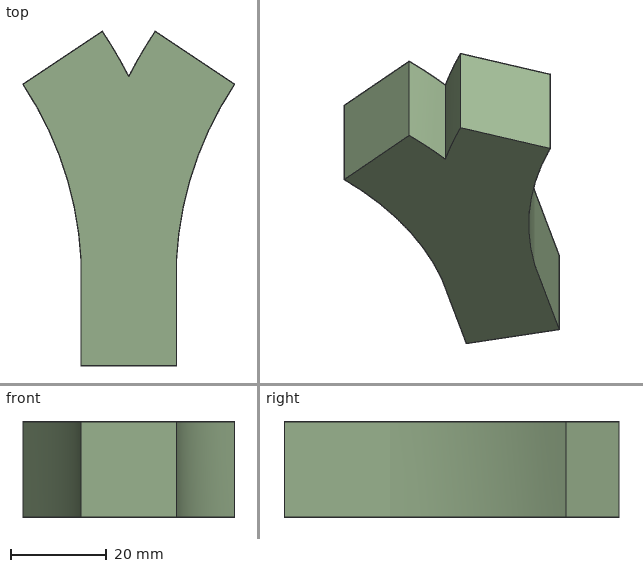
import cadquery as cq
import math

width = 20.0
height = 20.0
total_length = 70.0
total_span = 44.32
stem_length = 22.14
bend_radius = 83.0
end_angle = math.atan2(2, 3)

half_width = width / 2
inner_radius = bend_radius - half_width
outer_radius = bend_radius + half_width
center_x = -total_span / 2 - inner_radius * math.cos(end_angle)
center_y = total_length - outer_radius * math.sin(end_angle)
start_angle = math.asin((stem_length - center_y) / inner_radius)
mid_angle = (start_angle + end_angle) / 2


def arc_point(radius, angle):
    """Point on an arm arc, at an angle measured from +X about the arc centre."""
    return (center_x + radius * math.cos(angle), center_y + radius * math.sin(angle))


def make_stem():
    """Straight foot of the Y."""
    return (
        cq.Workplane("XY")
        .rect(width, stem_length)
        .extrude(height)
        .translate((0, stem_length / 2, 0))
    )


def make_left_arm():
    """Arm bending towards -X, with a flat radial end."""
    return (
        cq.Workplane("XY")
        .moveTo(-half_width, stem_length)
        .threePointArc(arc_point(inner_radius, mid_angle), arc_point(inner_radius, end_angle))
        .lineTo(*arc_point(outer_radius, end_angle))
        .threePointArc(arc_point(outer_radius, mid_angle), (half_width, stem_length))
        .close()
        .extrude(height)
    )


left_arm = make_left_arm()
right_arm = left_arm.mirror("YZ")
result = make_stem().union(left_arm).union(right_arm)